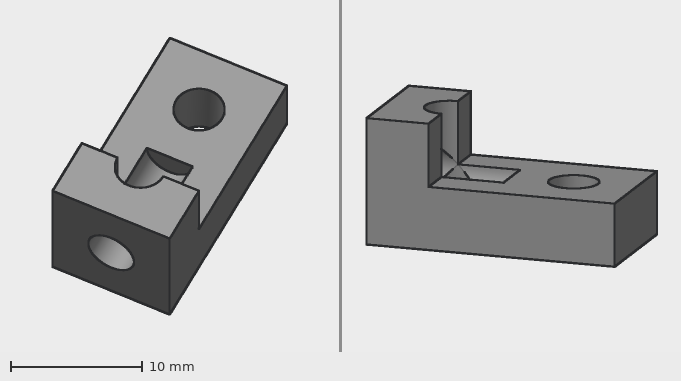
import cadquery as cq

width = 10.0
length = 20.0
height = 10.0

base_height = height / 2
wall_thickness = 5.0

hole_diameter = 3.9
wall_hole_y = wall_thickness
base_hole_y = 15.0
cross_hole_z = height / 2
cross_hole_depth = length / 2


def l_block():
    """L-shaped body, centred on X, with its -Y face at Y = 0."""
    base = cq.Workplane("XY").box(width, length, base_height, centered=(True, False, False))
    wall = cq.Workplane("XY").box(width, wall_thickness, height, centered=(True, False, False))
    return base.union(wall)


def vertical_hole(y):
    """Cutter for a hole through the full height at the given Y."""
    return cq.Workplane("XY").center(0, y).circle(hole_diameter / 2).extrude(height)


def cross_hole():
    """Cutter for the flat-bottomed blind hole running in +Y from the wall face."""
    return (
        cq.Workplane("XZ")
        .center(0, cross_hole_z)
        .circle(hole_diameter / 2)
        .extrude(-cross_hole_depth)
    )


result = l_block()
for hole_y in (wall_hole_y, base_hole_y):
    result = result.cut(vertical_hole(hole_y))
result = result.cut(cross_hole())